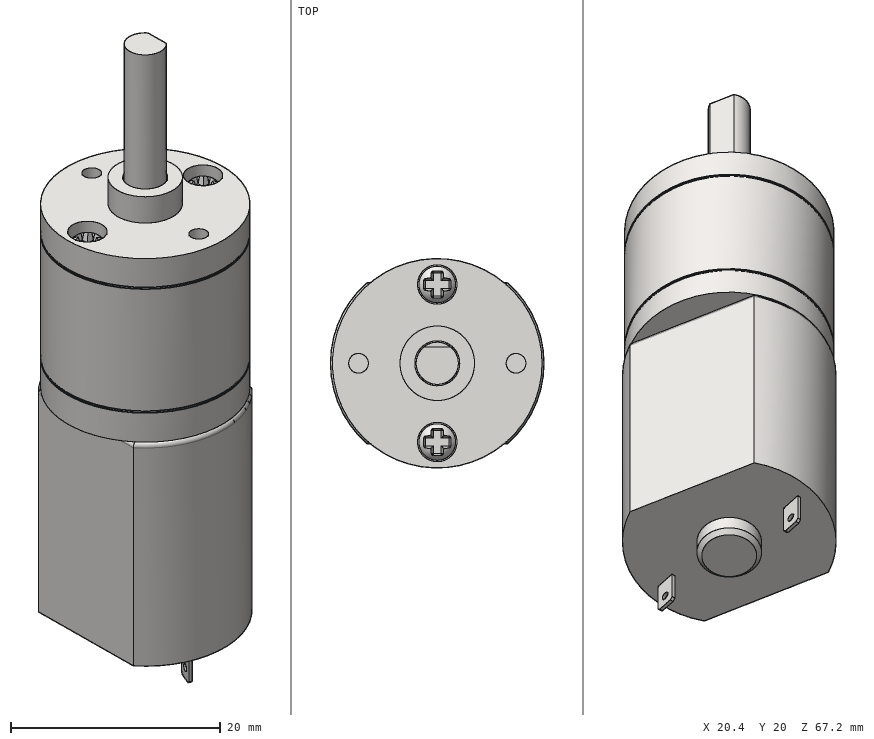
import cadquery as cq
import math

total_height = 67.2
shaft_length = 15.0
boss_height = 2.95
motor_base_z = 3.55
gearbox_base_z = 28.6
boss_top_z = total_height - shaft_length
gearbox_top_z = boss_top_z - boss_height

gearbox_radius = 10.0
end_plate_height = 3.35
joint_width = 0.2
joint_depth = 0.1
boss_radius = 3.55

shaft_radius = 2.0
shaft_flat_y = 1.55
shaft_round_height = 0.5
boss_bore_radius = 2.15

hole_pitch_radius = 7.5
mount_hole_radius = 0.95
screw_pocket_radius = 1.9
screw_pocket_depth = 1.8
screw_head_radius = 1.75
screw_head_rim_height = 0.4
screw_head_dome_height = 0.8
screw_slot_length = 2.2
screw_slot_width = 0.75
screw_slot_depth = 1.0
screw_slot_taper = 15.0

motor_radius = 10.2
motor_width = 15.45
motor_top_fillet = 0.55

hub_radius = 3.1
hub_height = 2.0
hub_chamfer = 0.5

terminal_width = 2.1
terminal_thickness = 0.35
terminal_chamfer = 0.3
terminal_x = 7.6
terminal_y = 1.6
terminal_angle = 22.0
terminal_hole_radius = 0.4
terminal_hole_z = 1.3
terminal_embed = 0.7


def cylinder(radius, bottom_z, top_z):
    return cq.Workplane("XY").workplane(offset=bottom_z).circle(radius).extrude(top_z - bottom_z)


def ring(outer_radius, inner_radius, bottom_z, top_z):
    return cylinder(outer_radius, bottom_z, top_z).cut(cylinder(inner_radius, bottom_z, top_z))


def make_motor():
    height = gearbox_base_z - motor_base_z
    can = cylinder(motor_radius, motor_base_z, gearbox_base_z)
    flats = cq.Workplane("XY").box(2 * motor_radius, motor_width, height, centered=(True, True, False))
    can = can.intersect(flats.translate((0, 0, motor_base_z)))
    can = can.faces(">Z").edges().fillet(motor_top_fillet)
    hub = cylinder(hub_radius, motor_base_z - hub_height, motor_base_z)
    hub = hub.faces("<Z").edges().chamfer(hub_chamfer)
    return can.union(hub)


def make_gearbox():
    body = cylinder(gearbox_radius, gearbox_base_z, gearbox_top_z)
    joint_heights = (gearbox_base_z + end_plate_height, gearbox_top_z - end_plate_height)
    for z in joint_heights:
        body = body.cut(
            ring(gearbox_radius, gearbox_radius - joint_depth, z - joint_width / 2, z + joint_width / 2)
        )
    boss = cylinder(boss_radius, gearbox_top_z, boss_top_z)
    bore = cylinder(boss_bore_radius, gearbox_top_z, boss_top_z)
    return body.union(boss).cut(bore)


def make_shaft():
    shaft = cylinder(shaft_radius, gearbox_top_z, total_height)
    flat_cut = cq.Workplane("XY").box(
        2 * shaft_radius, shaft_radius, shaft_length, centered=(True, False, False)
    )
    return shaft.cut(flat_cut.translate((0, shaft_flat_y, boss_top_z + shaft_round_height)))


def make_screw_head():
    """Domed head with a cross recess that widens upwards, standing on z = 0."""
    top = screw_head_rim_height + screw_head_dome_height
    middle_angle = math.radians(45)
    head = (
        cq.Workplane("XZ")
        .lineTo(screw_head_radius, 0)
        .lineTo(screw_head_radius, screw_head_rim_height)
        .threePointArc(
            (
                screw_head_radius * math.cos(middle_angle),
                screw_head_rim_height + screw_head_dome_height * math.sin(middle_angle),
            ),
            (0, top),
        )
        .close()
        .revolve(360, (0, 0, 0), (0, 1, 0))
    )
    slot_base = top - screw_slot_depth
    for size in ((screw_slot_length, screw_slot_width), (screw_slot_width, screw_slot_length)):
        floor = cq.Workplane("XY").workplane(offset=slot_base).rect(*size)
        slot = floor.extrude(top, taper=-screw_slot_taper)
        head = head.cut(slot)
    return head


def make_terminal():
    """Upright pierced blade centred on the Z axis."""
    height = motor_base_z + terminal_embed
    blade = cq.Workplane("XY").box(terminal_width, terminal_thickness, height, centered=(True, True, False))
    blade = blade.faces("<Z").edges("|Y").chamfer(terminal_chamfer)
    hole = cq.Workplane("XZ").center(0, terminal_hole_z).circle(terminal_hole_radius)
    return blade.cut(hole.extrude(terminal_thickness, both=True))


result = make_motor().union(make_gearbox()).union(make_shaft())

pocket_base_z = gearbox_top_z - screw_pocket_depth
for side in (-1, 1):
    offset = side * hole_pitch_radius
    pocket = cylinder(screw_pocket_radius, pocket_base_z, gearbox_top_z)
    result = result.cut(pocket.translate((0, offset, 0)))
    result = result.union(make_screw_head().translate((0, offset, pocket_base_z)))

    mount_hole = cylinder(mount_hole_radius, gearbox_top_z - end_plate_height, gearbox_top_z)
    result = result.cut(mount_hole.translate((offset, 0, 0)))

    terminal = make_terminal().rotate((0, 0, 0), (0, 0, 1), -terminal_angle)
    result = result.union(terminal.translate((side * terminal_x, -side * terminal_y, 0)))